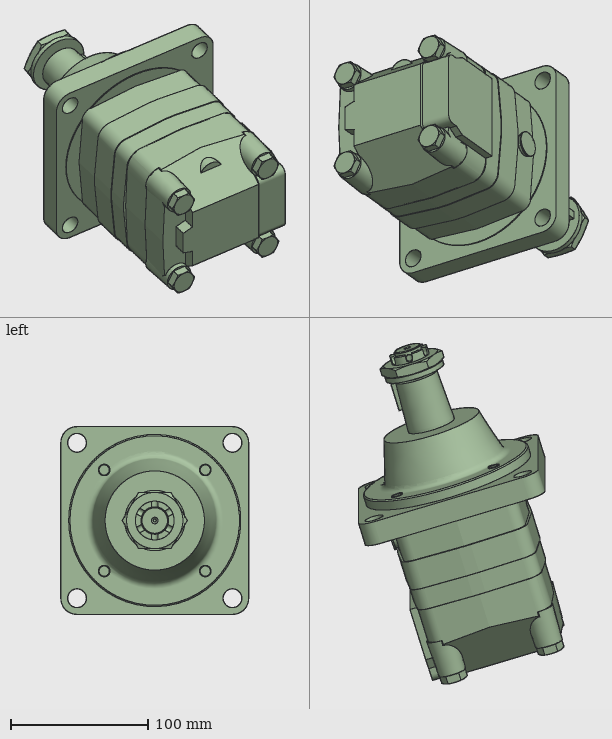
import cadquery as cq
import math


shaft_tip_x = -102.5
castle_front_x = -100.1
hex_front_x = -94.2
washer_front_x = -86.9
washer_rear_x = -83.2
taper_front_x = -80.4
taper_rear_x = -44.3
nose_front_x = -42.2
nose_rear_x = -11.8
pilot_front_x = -7.6
flange_rear_x = 16.9
lip_rear_x = 17.7
housing_rear_x = 40.5
spacer_rear_x = 62.1
gear_rear_x = 77.9
corner_rear_x = 103.4
port_face_rear_x = 126.9
boss_rear_x = 130.5
end_face_x = 136.2
bolt_rear_x = 136.7

bolt_offset = 36.8
bolt_diameter = 10.0
bolt_clearance_diameter = 10.5
thread_diameter = 8.38
bolt_tip_chamfer = 0.48
head_flats = 17.0
head_chamfer_diameter = 16.9
bolt_centers = [(y, z) for y in (-bolt_offset, bolt_offset) for z in (-bolt_offset, bolt_offset)]

flange_side = 136.9
flange_hole_offset = 56.57
flange_hole_diameter = 13.5
flange_corner_radius = flange_side / 2 - flange_hole_offset
lip_radius = 60.4

nose_front_radius = 36.15
nose_rear_radius = 44.75
nose_fillet_outer_radius = 50.2
pilot_radius = 62.7
pilot_chamfer = 1.0

housing_corner_radius = 9.6
housing_side_angle = 4.5
spacer_corner_radius = 11.2
gear_corner_radius = 10.6
ring_side_angle = 5.0
ring_crown_half_width = 4.7

drain_x = 29.4
drain_rim_y = 52.3
drain_rim_thickness = 1.2
drain_rim_diameter = 18.63
drain_neck_diameter = 16.9
drain_root_y = 40.0

cover_top_ridge = (0, 50.9)
cover_top_tangent = (36.3, 48.6)
cover_corner_break = (43.1, 45.1)
cover_side_tangent = (47.2, 32.8)
cover_side_extension = (47.0, 36.0)
cover_side_ridge = (48.6, 0)
cover_slope_angle = 38.0
boss_front_radius = 11.2
boss_rear_radius = 10.2
end_block_half_width = 29.0
end_rib_half_width = 37.0
end_rib_half_height = 9.2
end_rib_flare = 2.4
slope_boss_radius = 10.0
slope_boss_z = 35.6
slope_boss_rear_x = 117.1

port_plate_y = 53.0
port_plate_root_y = 30.0
port_plate_rear_x = 135.1
port_plate_half_height = 32.0
port_plate_end_half_height = 28.0
port_plate_neck_front_x = 117.1
port_plate_neck_rear_x = 124.9
port_plate_corner_radius = 5.2

shaft_diameter = 35.0
taper_front_diameter = 31.7
shaft_thread_diameter = 20.0
shaft_thread_chamfer = 0.7
shaft_rear_x = flange_rear_x
key_length = 20.4
key_top_y = 19.2
key_width = 6.0
pin_hole_diameter = 4.8
pin_hole_x = -97.0
center_diameter = 4.8
center_drill_diameter = 2.2
center_cone_depth = (center_diameter - center_drill_diameter) / 2
center_depth = 5.0

hex_chamfer_angle = 20.0
nut_flats = 41.0
castle_diameter = 28.2
washer_diameter = 44.0
slot_count = 6


def along_x(x):
    """Sketch plane at station x, with sketch axes along Y and Z, extruding toward +X."""
    return cq.Workplane("YZ", origin=(x, 0, 0))


def cylinder_x(x_start, x_end, diameter, centers=((0, 0),)):
    return along_x(x_start).pushPoints(list(centers)).circle(diameter / 2).extrude(x_end - x_start)


def turned(outline):
    """Revolve a closed (x, radius) sketch about the motor axis."""
    return outline.close().revolve(360, (0, 0, 0), (1, 0, 0))


def square_ring(x_start, x_end, corner_radius, side_angle, crown_half_width=0):
    """Square prism with rounded corners; each side rises to a ridge or to a flat crown."""
    lean = math.radians(side_angle)
    near = bolt_offset + corner_radius * math.sin(lean)
    far = bolt_offset + corner_radius * math.cos(lean)
    middle = bolt_offset + corner_radius * math.sqrt(0.5)
    shoulder = far + (near - crown_half_width) * math.tan(lean)

    def turn(y, z, quarter):
        for _ in range(quarter):
            y, z = z, -y
        return (y, z)

    sketch = along_x(x_start).moveTo(-crown_half_width, shoulder)
    for quarter in range(4):
        if crown_half_width:
            sketch = sketch.lineTo(*turn(crown_half_width, shoulder, quarter))
        sketch = sketch.lineTo(*turn(near, far, quarter))
        sketch = sketch.threePointArc(turn(middle, middle, quarter), turn(far, near, quarter))
        if quarter < 3:
            sketch = sketch.lineTo(*turn(-crown_half_width, shoulder, quarter + 1))
    return sketch.close().extrude(x_end - x_start)


def chamfered_hex(x_start, x_end, flats, chamfer_diameter, front=True, rear=True):
    """Hexagonal prism with corners on the Y axis and shallow chamfers on the chosen ends."""
    corner_diameter = flats / math.cos(math.pi / 6)
    drop = (corner_diameter - chamfer_diameter) / 2
    depth = drop * math.tan(math.radians(hex_chamfer_angle))
    prism = along_x(x_start).polygon(6, corner_diameter).extrude(x_end - x_start)
    full = corner_diameter / 2
    envelope = cq.Workplane("XY").moveTo(x_start, 0)
    if front:
        envelope = envelope.lineTo(x_start, full - drop).lineTo(x_start + depth, full)
    else:
        envelope = envelope.lineTo(x_start, full)
    if rear:
        envelope = envelope.lineTo(x_end - depth, full).lineTo(x_end, full - drop)
    else:
        envelope = envelope.lineTo(x_end, full)
    return prism.intersect(turned(envelope.lineTo(x_end, 0)))


def make_housing():
    fillet_mid_x = pilot_front_x - 1.4
    fillet_mid_radius = 46.3
    nose = turned(
        cq.Workplane("XY")
        .moveTo(nose_front_x, 0)
        .lineTo(nose_front_x, nose_front_radius)
        .lineTo(nose_rear_x, nose_rear_radius)
        .threePointArc((fillet_mid_x, fillet_mid_radius), (pilot_front_x, nose_fillet_outer_radius))
        .lineTo(pilot_front_x, pilot_radius - pilot_chamfer)
        .lineTo(pilot_front_x + pilot_chamfer, pilot_radius)
        .lineTo(0, pilot_radius)
        .lineTo(0, 0)
    )
    flange = along_x(0).rect(flange_side, flange_side).extrude(flange_rear_x)
    flange = flange.edges("|X").fillet(flange_corner_radius)
    corners = [
        (y, z)
        for y in (-flange_hole_offset, flange_hole_offset)
        for z in (-flange_hole_offset, flange_hole_offset)
    ]
    flange = flange.cut(cylinder_x(0, flange_rear_x, flange_hole_diameter, corners))
    lip = cylinder_x(flange_rear_x, lip_rear_x, 2 * lip_radius)
    barrel = square_ring(flange_rear_x, housing_rear_x, housing_corner_radius, housing_side_angle)
    drain_plane = cq.Workplane("XZ", origin=(drain_x, drain_rim_y, 0))
    drain_rim = drain_plane.circle(drain_rim_diameter / 2).extrude(drain_rim_thickness)
    drain_neck = drain_plane.circle(drain_neck_diameter / 2).extrude(drain_rim_y - drain_root_y)
    body = nose.union(flange).union(lip).union(barrel).union(drain_neck).union(drain_rim)
    body = body.cut(cylinder_x(nose_front_x, shaft_rear_x, shaft_diameter))
    return body.cut(cylinder_x(nose_rear_x, housing_rear_x, thread_diameter, bolt_centers))


def make_ring(x_start, x_end, corner_radius):
    ring = square_ring(x_start, x_end, corner_radius, ring_side_angle, ring_crown_half_width)
    return ring.cut(cylinder_x(x_start, x_end, bolt_clearance_diameter, bolt_centers))


def make_cover_core():
    front = along_x(gear_rear_x).moveTo(*cover_top_ridge).lineTo(*cover_top_tangent)
    front = front.tangentArcPoint(cover_corner_break, relative=False)
    front = front.tangentArcPoint(cover_side_tangent, relative=False).lineTo(*cover_side_ridge)
    front = front.lineTo(0, 0).close().extrude(corner_rear_x - gear_rear_x)
    rear = along_x(corner_rear_x).moveTo(*cover_top_ridge).lineTo(*cover_top_tangent)
    rear = rear.lineTo(*cover_side_extension).lineTo(*cover_side_ridge)
    rear = rear.lineTo(0, 0).close().extrude(port_face_rear_x - corner_rear_x)
    quarter = front.union(rear)
    half = quarter.union(quarter.mirror("XZ"))
    return half.union(half.mirror("XY"))


def make_end_block():
    length = end_face_x - port_face_rear_x
    height = 2 * cover_side_tangent[1]
    block = along_x(port_face_rear_x).rect(2 * end_block_half_width, height).extrude(length)
    flare_z = end_rib_half_height + end_rib_flare
    rib = (
        along_x(port_face_rear_x)
        .moveTo(0, flare_z)
        .lineTo(-end_block_half_width, flare_z)
        .lineTo(-end_rib_half_width, end_rib_half_height)
        .lineTo(-end_rib_half_width, -end_rib_half_height)
        .lineTo(-end_block_half_width, -flare_z)
        .lineTo(0, -flare_z)
        .close()
        .extrude(length)
    )
    return block.union(rib)


def make_slope_envelope():
    """Side outline whose top and bottom slope inward toward the rear face."""
    ridge_z = cover_top_ridge[1]
    end_z = ridge_z - (end_face_x - corner_rear_x) * math.tan(math.radians(cover_slope_angle))
    return (
        cq.Workplane("XZ")
        .moveTo(gear_rear_x, ridge_z)
        .lineTo(corner_rear_x, ridge_z)
        .lineTo(end_face_x, end_z)
        .lineTo(end_face_x, -end_z)
        .lineTo(corner_rear_x, -ridge_z)
        .lineTo(gear_rear_x, -ridge_z)
        .close()
        .extrude(flange_side / 2, both=True)
    )


def make_port_plate():
    corner_x = port_plate_rear_x - port_plate_corner_radius
    corner_z = port_plate_end_half_height - port_plate_corner_radius
    upper = (
        cq.Workplane("XZ", origin=(0, port_plate_y, 0))
        .moveTo(gear_rear_x, 0)
        .lineTo(gear_rear_x, port_plate_half_height)
        .lineTo(port_plate_neck_front_x, port_plate_half_height)
        .lineTo(port_plate_neck_rear_x, port_plate_end_half_height)
        .lineTo(corner_x, port_plate_end_half_height)
        .tangentArcPoint((port_plate_rear_x, corner_z), relative=False)
        .lineTo(port_plate_rear_x, 0)
        .close()
        .extrude(port_plate_y - port_plate_root_y)
    )
    return upper.union(upper.mirror("XY"))


def make_cover():
    cover = make_cover_core().union(make_end_block()).intersect(make_slope_envelope())
    slope_boss = cylinder_x(corner_rear_x, slope_boss_rear_x, 2 * slope_boss_radius, [(0, slope_boss_z)])
    cover = cover.union(slope_boss).union(make_port_plate())
    boss = turned(
        cq.Workplane("XY")
        .moveTo(corner_rear_x, 0)
        .lineTo(corner_rear_x, boss_front_radius)
        .lineTo(boss_rear_x, boss_rear_radius)
        .lineTo(boss_rear_x, 0)
    )
    head_room = head_flats / math.cos(math.pi / 6)
    cover = cover.cut(cylinder_x(boss_rear_x, bolt_rear_x, head_room, bolt_centers))
    for y, z in bolt_centers:
        cover = cover.union(boss.translate((0, y, z)))
    return cover.cut(cylinder_x(gear_rear_x, boss_rear_x, bolt_clearance_diameter, bolt_centers))


def make_bolt(y, z):
    thread = cylinder_x(pilot_front_x, housing_rear_x, thread_diameter)
    thread = thread.faces("<X").chamfer(bolt_tip_chamfer)
    shank = cylinder_x(housing_rear_x, boss_rear_x, bolt_diameter)
    head = chamfered_hex(boss_rear_x, bolt_rear_x, head_flats, head_chamfer_diameter, front=False)
    return thread.union(shank).union(head).translate((0, y, z))


def make_shaft():
    thread_radius = shaft_thread_diameter / 2
    shaft = turned(
        cq.Workplane("XY")
        .moveTo(shaft_tip_x, 0)
        .lineTo(shaft_tip_x, thread_radius - shaft_thread_chamfer)
        .lineTo(shaft_tip_x + shaft_thread_chamfer, thread_radius)
        .lineTo(taper_front_x, thread_radius)
        .lineTo(taper_front_x, taper_front_diameter / 2)
        .lineTo(taper_rear_x, shaft_diameter / 2)
        .lineTo(shaft_rear_x, shaft_diameter / 2)
        .lineTo(shaft_rear_x, 0)
    )
    key = cq.Workplane("XY").box(key_length, key_top_y, key_width, centered=(False, False, True))
    shaft = shaft.union(key.translate((taper_front_x, 0, 0)))
    center = turned(
        cq.Workplane("XY")
        .moveTo(shaft_tip_x, 0)
        .lineTo(shaft_tip_x, center_diameter / 2)
        .lineTo(shaft_tip_x + center_cone_depth, center_drill_diameter / 2)
        .lineTo(shaft_tip_x + center_depth, center_drill_diameter / 2)
        .lineTo(shaft_tip_x + center_depth, 0)
    )
    pin_hole = cq.Workplane("XY", origin=(pin_hole_x, 0, 0)).circle(pin_hole_diameter / 2)
    return shaft.cut(center).cut(pin_hole.extrude(shaft_thread_diameter, both=True))


def make_nut():
    castle = cylinder_x(castle_front_x, hex_front_x, castle_diameter)
    slot_round = cq.Workplane("XY", origin=(pin_hole_x, 0, 0)).circle(pin_hole_diameter / 2)
    slot_round = slot_round.extrude(castle_diameter)
    slot_length = pin_hole_x - castle_front_x
    slot_mouth = cq.Workplane("XY").box(
        slot_length, pin_hole_diameter, castle_diameter, centered=(False, True, False)
    )
    slot = slot_round.union(slot_mouth.translate((castle_front_x, 0, 0)))
    for index in range(slot_count):
        castle = castle.cut(slot.rotate((0, 0, 0), (1, 0, 0), index * 360 / slot_count))
    hexagon = chamfered_hex(hex_front_x, washer_front_x, nut_flats, nut_flats)
    collar = cylinder_x(washer_front_x, washer_rear_x, washer_diameter)
    nut = hexagon.union(collar).union(castle)
    return nut.cut(cylinder_x(castle_front_x, washer_rear_x, shaft_thread_diameter))


housing = make_housing()
spacer_plate = make_ring(housing_rear_x, spacer_rear_x, spacer_corner_radius)
gear_ring = make_ring(spacer_rear_x, gear_rear_x, gear_corner_radius)
end_cover = make_cover()
shaft = make_shaft()
castle_nut = make_nut()
bolts = [make_bolt(y, z).val() for y, z in bolt_centers]

result = cq.Compound.makeCompound(
    [
        housing.val(),
        spacer_plate.val(),
        gear_ring.val(),
        end_cover.val(),
        shaft.val(),
        castle_nut.val(),
        *bolts,
    ]
)